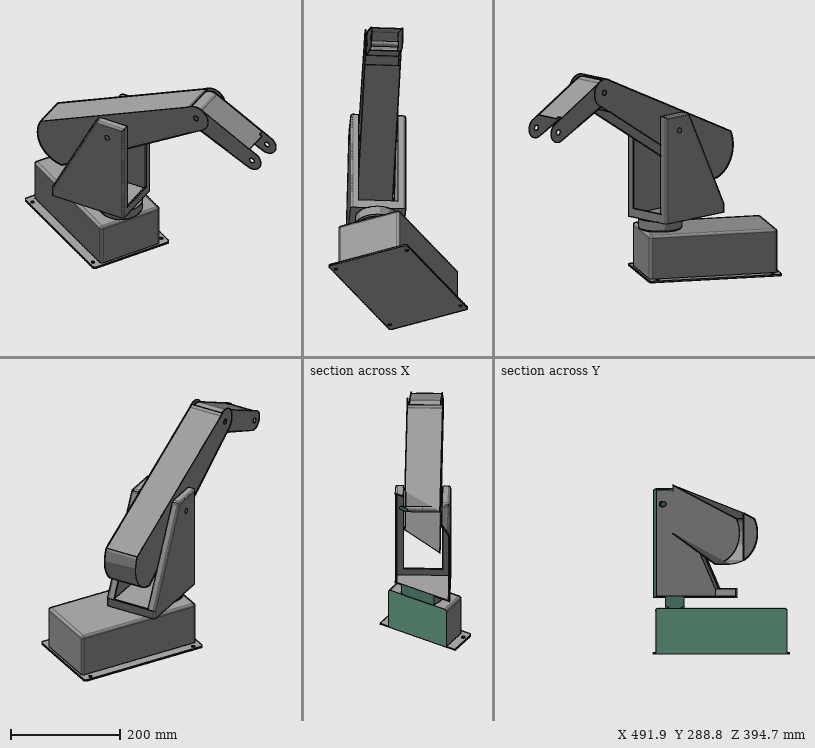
import cadquery as cq
import math

FLANGE_LENGTH = 250.0
FLANGE_WIDTH = 161.0
FLANGE_THICKNESS = 3.0
FLANGE_CORNER_RADIUS = 5.0
MOUNT_HOLE_DIAMETER = 6.0
MOUNT_HOLE_SPACING_X = 217.5
MOUNT_HOLE_SPACING_Y = 146.0
BOX_LENGTH = 241.5
BOX_WIDTH = 125.5
BASE_HEIGHT = 84.0
BOX_EDGE_RADIUS = 5.0

TURRET_X = 85.0
TURRET_YAW = 30.3
DISC_DIAMETER = 80.0
DISC_HEIGHT = 19.5
DISC_CHAMFER = 2.5
BRACKET_HEIGHT = 200.0
BRACKET_WIDTH = 101.5
BRACKET_INNER_WIDTH = 72.0
BRACKET_LIP = 16.3
BRACKET_WALL = 3.0
BRACKET_FRONT = 34.0
BRACKET_TAIL = 116.5
BRACKET_TOP_LENGTH = 59.0
BRACKET_EDGE_RADIUS = 4.0
BRACKET_TOP_RADIUS = 8.0

PIVOT_DIAMETER = 10.0
LINK_WALL = 1.0
SHOULDER_HEIGHT = 171.0
ARM_PITCH = 28.3
ARM_LENGTH = 200.0
ARM_WIDTH = 66.0
ARM_TAIL_CREASE = 145.0
ARM_TAIL_HALF_HEIGHT = 48.0
ARM_TAIL_END = 170.0
ARM_NOSE_HALF_HEIGHT = 25.5
ARM_NOSE_REACH = 25.0
ARM_NOSE_SETBACK = 4.5
ARM_TOP_WALL_OVERHANG = 2.0
ARM_BOTTOM_WALL_SETBACK = 29.5

FOREARM_PITCH = -26.5
FOREARM_LENGTH = 128.5
FOREARM_WIDTH = 58.0
FOREARM_REAR_RADIUS = 22.0
FOREARM_TIP_RADIUS = 18.5
FOREARM_TOP_WALL_END = 113.5
FOREARM_BOTTOM_WALL_END = 80.0
NOTCH_LENGTH = 5.5
NOTCH_WIDTH = 10.0

ARM_NOSE_START = ARM_LENGTH - ARM_NOSE_SETBACK
ARM_NOSE_END = ARM_LENGTH + ARM_NOSE_REACH
BRACKET_BOTTOM = BASE_HEIGHT + DISC_HEIGHT
SHOULDER_Z = BRACKET_BOTTOM + SHOULDER_HEIGHT
ELBOW_X = ARM_LENGTH * math.cos(math.radians(ARM_PITCH))
ELBOW_Z = SHOULDER_Z + ARM_LENGTH * math.sin(math.radians(ARM_PITCH))


def block(x_range, y_range, z_range):
    """Box spanning the given (low, high) ranges."""
    size = [high - low for low, high in (x_range, y_range, z_range)]
    corner = cq.Vector(x_range[0], y_range[0], z_range[0])
    return cq.Workplane(cq.Solid.makeBox(*size, corner))


def pivot_pin(x, z, length):
    """Pin along Y, centred on Y = 0; it also serves as the cutter for its hole."""
    return cq.Workplane("XZ").center(x, z).circle(PIVOT_DIAMETER / 2).extrude(length / 2, both=True)


def plate_on_edge(wire, width):
    """Extrude a closed XZ wire to the given width, centred on Y = 0."""
    return cq.Workplane("XZ").add(wire).toPending().extrude(width / 2, both=True)


def hollow_link(wire, width):
    """Closed shell of wall thickness LINK_WALL around an XZ outline."""
    inside = wire.offset2D(-LINK_WALL)[0]
    return plate_on_edge(wire, width).cut(plate_on_edge(inside, width - 2 * LINK_WALL))


def pitched(link, angle, x, z):
    """Tip a link up by the angle about its own pivot, then move the pivot to (x, z)."""
    return link.rotate((0, 0, 0), (0, 1, 0), -angle).translate((x, 0, z))


def on_turret(body):
    """Turn a body built along X to the turret heading and move it to the turret axis."""
    return body.rotate((0, 0, 0), (0, 0, 1), TURRET_YAW).translate((TURRET_X, 0, 0))


def make_base():
    flange = (
        cq.Workplane("XY")
        .box(FLANGE_LENGTH, FLANGE_WIDTH, FLANGE_THICKNESS, centered=(True, True, False))
        .edges("|Z")
        .fillet(FLANGE_CORNER_RADIUS)
        .faces(">Z")
        .workplane()
        .rect(MOUNT_HOLE_SPACING_X, MOUNT_HOLE_SPACING_Y, forConstruction=True)
        .vertices()
        .hole(MOUNT_HOLE_DIAMETER)
    )
    box = (
        cq.Workplane("XY")
        .box(BOX_LENGTH, BOX_WIDTH, BASE_HEIGHT, centered=(True, True, False))
        .edges("|Z or >Z")
        .fillet(BOX_EDGE_RADIUS)
    )
    return flange.union(box)


def bracket_side():
    """Bracket outline in XZ: upright front, flat top, sloping back and a low rear lip."""
    bracket_top = BRACKET_BOTTOM + BRACKET_HEIGHT
    return (
        cq.Workplane("XZ")
        .moveTo(-BRACKET_TAIL, BRACKET_BOTTOM)
        .lineTo(BRACKET_FRONT, BRACKET_BOTTOM)
        .lineTo(BRACKET_FRONT, bracket_top)
        .lineTo(BRACKET_FRONT - BRACKET_TOP_LENGTH, bracket_top)
        .lineTo(-BRACKET_TAIL, BRACKET_BOTTOM + BRACKET_LIP)
        .close()
        .val()
    )


def make_turret():
    disc = (
        cq.Workplane("XY", origin=(0, 0, BASE_HEIGHT))
        .circle(DISC_DIAMETER / 2)
        .extrude(DISC_HEIGHT)
        .faces("<Z")
        .chamfer(DISC_CHAMFER)
    )
    lip_top = BRACKET_BOTTOM + BRACKET_LIP
    half_gap = BRACKET_INNER_WIDTH / 2
    channel = block(
        (-BRACKET_TAIL, BRACKET_FRONT), (-half_gap, half_gap), (lip_top, BRACKET_BOTTOM + BRACKET_HEIGHT)
    )
    bracket = plate_on_edge(bracket_side(), BRACKET_WIDTH)
    bracket = bracket.faces(">Z").edges("<X").fillet(BRACKET_TOP_RADIUS)
    bracket = bracket.faces("<Y or >Y").edges("not <Z").fillet(BRACKET_EDGE_RADIUS)
    inside = bracket_side().offset2D(-BRACKET_WALL)[0]
    bracket = bracket.cut(plate_on_edge(inside, BRACKET_WIDTH - 2 * BRACKET_WALL)).cut(channel)
    return bracket.union(disc).cut(pivot_pin(0, SHOULDER_Z, BRACKET_WIDTH))


def make_upper_arm():
    """Arm along +X with the shoulder pivot at the origin and the elbow at (ARM_LENGTH, 0)."""
    outline = (
        cq.Workplane("XZ")
        .moveTo(-ARM_TAIL_CREASE, ARM_TAIL_HALF_HEIGHT)
        .threePointArc((-ARM_TAIL_END, 0), (-ARM_TAIL_CREASE, -ARM_TAIL_HALF_HEIGHT))
        .lineTo(ARM_NOSE_START, -ARM_NOSE_HALF_HEIGHT)
        .threePointArc((ARM_NOSE_END, 0), (ARM_NOSE_START, ARM_NOSE_HALF_HEIGHT))
        .close()
    )
    arm = hollow_link(outline.val(), ARM_WIDTH)
    half_inner = ARM_WIDTH / 2 - LINK_WALL

    across = (-half_inner, half_inner)
    upper = (0, ARM_TAIL_HALF_HEIGHT)
    lower = (-ARM_TAIL_HALF_HEIGHT, 0)
    arm = (
        arm.cut(block((ARM_LENGTH + ARM_TOP_WALL_OVERHANG, ARM_NOSE_END), across, upper))
        .cut(block((ARM_LENGTH - ARM_BOTTOM_WALL_SETBACK, ARM_NOSE_END), across, lower))
        .cut(pivot_pin(ARM_LENGTH, 0, ARM_WIDTH))
        .union(pivot_pin(0, 0, BRACKET_WIDTH))
    )
    return pitched(arm, ARM_PITCH, 0, SHOULDER_Z)


def make_forearm():
    """Forearm along +X with the elbow pivot at the origin and the wrist hole near its tip."""
    taper = math.asin((FOREARM_REAR_RADIUS - FOREARM_TIP_RADIUS) / FOREARM_LENGTH)
    rear_x = FOREARM_REAR_RADIUS * math.sin(taper)
    rear_z = FOREARM_REAR_RADIUS * math.cos(taper)
    tip_x = FOREARM_LENGTH + FOREARM_TIP_RADIUS * math.sin(taper)
    tip_z = FOREARM_TIP_RADIUS * math.cos(taper)
    end_x = FOREARM_LENGTH + FOREARM_TIP_RADIUS

    outline = (
        cq.Workplane("XZ")
        .moveTo(rear_x, rear_z)
        .threePointArc((-FOREARM_REAR_RADIUS, 0), (rear_x, -rear_z))
        .lineTo(tip_x, -tip_z)
        .threePointArc((end_x, 0), (tip_x, tip_z))
        .close()
    )
    forearm = hollow_link(outline.val(), FOREARM_WIDTH)
    half_inner = FOREARM_WIDTH / 2 - LINK_WALL

    upper = (0, FOREARM_REAR_RADIUS)
    lower = (-FOREARM_REAR_RADIUS, 0)
    across = (-half_inner, half_inner)
    notch_start = FOREARM_TOP_WALL_END - NOTCH_LENGTH
    forearm = (
        forearm.cut(block((FOREARM_TOP_WALL_END, end_x), across, upper))
        .cut(block((FOREARM_BOTTOM_WALL_END, end_x), across, lower))
        .cut(block((notch_start, end_x), (half_inner - NOTCH_WIDTH, half_inner), upper))
    )
    forearm = forearm.union(pivot_pin(0, 0, ARM_WIDTH)).cut(pivot_pin(FOREARM_LENGTH, 0, FOREARM_WIDTH))
    return pitched(forearm, FOREARM_PITCH, ELBOW_X, ELBOW_Z)


base = make_base()
turret = on_turret(make_turret())
upper_arm = on_turret(make_upper_arm())
forearm = on_turret(make_forearm())

result = cq.Compound.makeCompound([base.val(), turret.val(), upper_arm.val(), forearm.val()])